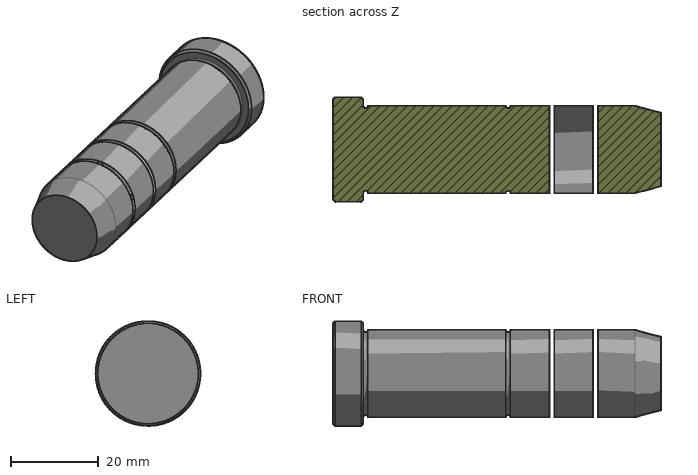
import cadquery as cq
import math

length = 75.0
head_diameter = 24.0
head_thickness = 7.0
head_edge_chamfer = 0.5
shank_diameter = 20.0

taper_length = 6.0
taper_angle = 15.0

groove_radius = 0.5
groove_spacing = 10.0
groove_count = 3
last_groove_distance = 60.0

head_face_x = -length / 2
shank_radius = shank_diameter / 2
tip_radius = shank_radius - taper_length * math.tan(math.radians(taper_angle))


def make_head():
    head = cq.Workplane("YZ", origin=(head_face_x, 0, 0)).circle(head_diameter / 2).extrude(head_thickness)
    return head.faces("|X").edges().chamfer(head_edge_chamfer)


def make_shank():
    """Plain cylinder with a conical tip, running the full length of the pin."""
    profile = (
        cq.Workplane("XY")
        .moveTo(head_face_x, 0)
        .lineTo(head_face_x, shank_radius)
        .lineTo(length / 2 - taper_length, shank_radius)
        .lineTo(length / 2, tip_radius)
        .lineTo(length / 2, 0)
        .close()
    )
    return profile.revolve(360, (0, 0, 0), (1, 0, 0))


def make_groove_cutter(distance):
    """Ring of round section centred on the shank surface."""
    section = cq.Workplane("XY").center(head_face_x + distance, shank_radius).circle(groove_radius)
    return section.revolve(360, (0, -shank_radius, 0), (1, -shank_radius, 0))


groove_distances = [head_thickness + groove_radius]
for index in range(groove_count):
    groove_distances.append(last_groove_distance - index * groove_spacing)

result = make_head().union(make_shank())
for groove_distance in groove_distances:
    result = result.cut(make_groove_cutter(groove_distance))